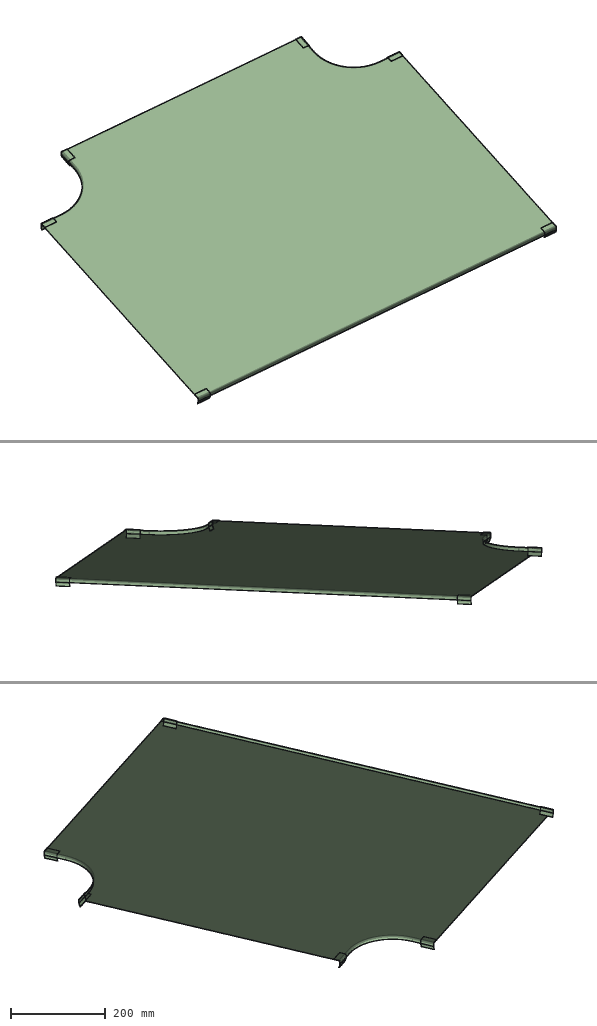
import cadquery as cq
import math

LENGTH = 902.5
WIDTH = 754.0
HEIGHT = 19.0

SHEET = 1.0
FLANGE_HEIGHT = 9.0
BEND_RADIUS = 2.3

NOTCH_STRAIGHT = 50.0
NOTCH_RADIUS = 99.0

CLIP_LENGTH = 30.0
CLIP_TOP_WIDTH = 14.0
CLIP_SHEET = 1.2
HOOK_ANGLE = math.radians(20)
HOOK_BEND = 1.35

HALF_LENGTH = LENGTH / 2
NOTCH = NOTCH_STRAIGHT + NOTCH_RADIUS
NOTCH_EDGE_Y = NOTCH - HALF_LENGTH
COVER_RIGHT = WIDTH - CLIP_SHEET
TOP = HEIGHT - CLIP_SHEET
BEND_Z = TOP - BEND_RADIUS
FLANGE_BOTTOM = TOP - FLANGE_HEIGHT
DIAGONAL = math.sqrt(0.5)


def section_plane(origin, inward):
    """Upright plane across a flange: local x points into the cover, local y is up."""
    normal = cq.Vector(*inward).cross(cq.Vector(0, 0, 1))
    return cq.Plane(origin=origin, xDir=inward, normal=normal)


def bend_middle(radius):
    """Middle of a bend arc in a section plane."""
    return (BEND_RADIUS - radius * DIAGONAL, BEND_Z + radius * DIAGONAL)


def flange_profile(plane):
    """Cross-section of a flange and its bend, outer face at local x = 0."""
    return (
        cq.Workplane(plane)
        .moveTo(0, FLANGE_BOTTOM)
        .lineTo(0, BEND_Z)
        .threePointArc(bend_middle(BEND_RADIUS), (BEND_RADIUS, TOP))
        .lineTo(BEND_RADIUS, TOP - SHEET)
        .threePointArc(bend_middle(BEND_RADIUS - SHEET), (SHEET, BEND_Z))
        .lineTo(SHEET, FLANGE_BOTTOM)
        .close()
    )


def notch_flange():
    """Flange along the notch at the -X, -Y corner."""
    arc_reach = NOTCH_RADIUS * DIAGONAL
    arc_middle = (NOTCH_STRAIGHT + arc_reach, NOTCH_STRAIGHT + arc_reach - HALF_LENGTH)
    path = (
        cq.Workplane("XY")
        .moveTo(0, NOTCH_EDGE_Y)
        .lineTo(NOTCH_STRAIGHT, NOTCH_EDGE_Y)
        .threePointArc(arc_middle, (NOTCH, NOTCH_STRAIGHT - HALF_LENGTH))
        .lineTo(NOTCH, -HALF_LENGTH)
    )
    return flange_profile(section_plane((0, NOTCH_EDGE_Y, 0), (0, 1, 0))).sweep(path)


def right_flange():
    """Straight flange along the whole +X edge."""
    start = section_plane((COVER_RIGHT, -HALF_LENGTH, 0), (-1, 0, 0))
    return flange_profile(start).extrude(LENGTH)


def top_sheet():
    """Flat top, ending where the bends begin."""
    left_x = NOTCH + BEND_RADIUS
    right_x = COVER_RIGHT - BEND_RADIUS
    arm_y = HALF_LENGTH - left_x
    arc_end_y = HALF_LENGTH - NOTCH_STRAIGHT
    arc_reach = (NOTCH_RADIUS + BEND_RADIUS) * DIAGONAL
    arc_x = NOTCH_STRAIGHT + arc_reach
    arc_y = arc_end_y - arc_reach
    return (
        cq.Workplane("XY", origin=(0, 0, TOP - SHEET))
        .moveTo(0, -arm_y)
        .lineTo(NOTCH_STRAIGHT, -arm_y)
        .threePointArc((arc_x, -arc_y), (left_x, -arc_end_y))
        .lineTo(left_x, -HALF_LENGTH)
        .lineTo(right_x, -HALF_LENGTH)
        .lineTo(right_x, HALF_LENGTH)
        .lineTo(left_x, HALF_LENGTH)
        .lineTo(left_x, arc_end_y)
        .threePointArc((arc_x, arc_y), (NOTCH_STRAIGHT, arm_y))
        .lineTo(0, arm_y)
        .close()
        .extrude(SHEET)
    )


def cover_body():
    corner = notch_flange()
    return top_sheet().union(corner).union(corner.mirror("XZ")).union(right_flange())


def clip_body(origin, inward):
    """Clip around a flange whose outer face passes through origin."""
    slant = math.tan(HOOK_ANGLE)
    corner_z = FLANGE_BOTTOM - CLIP_SHEET * math.tan(HOOK_ANGLE / 2)
    hook_start = (
        HOOK_BEND * math.sin(HOOK_ANGLE) - CLIP_SHEET,
        corner_z - HOOK_BEND * math.cos(HOOK_ANGLE),
    )
    return (
        cq.Workplane(section_plane(origin, inward))
        .moveTo(CLIP_TOP_WIDTH, TOP)
        .lineTo(CLIP_TOP_WIDTH, HEIGHT)
        .lineTo(BEND_RADIUS, HEIGHT)
        .threePointArc(bend_middle(BEND_RADIUS + CLIP_SHEET), (-CLIP_SHEET, BEND_Z))
        .lineTo(-CLIP_SHEET, corner_z + HOOK_BEND)
        .tangentArcPoint(hook_start, relative=False)
        .lineTo(corner_z * slant - CLIP_SHEET, 0)
        .lineTo(FLANGE_BOTTOM * slant, 0)
        .lineTo(0, FLANGE_BOTTOM)
        .lineTo(0, BEND_Z)
        .threePointArc(bend_middle(BEND_RADIUS), (BEND_RADIUS, TOP))
        .close()
        .extrude(CLIP_LENGTH)
    )


cover = cover_body()

clip_places = [
    ((0, NOTCH_EDGE_Y, 0), (0, 1, 0)),
    ((NOTCH, CLIP_LENGTH - HALF_LENGTH, 0), (1, 0, 0)),
    ((COVER_RIGHT, -HALF_LENGTH, 0), (-1, 0, 0)),
]
clips = []
for place, inward_direction in clip_places:
    clip = clip_body(place, inward_direction)
    clips.append(clip.val())
    clips.append(clip.mirror("XZ").val())

result = cq.Compound.makeCompound([cover.val(), *clips])